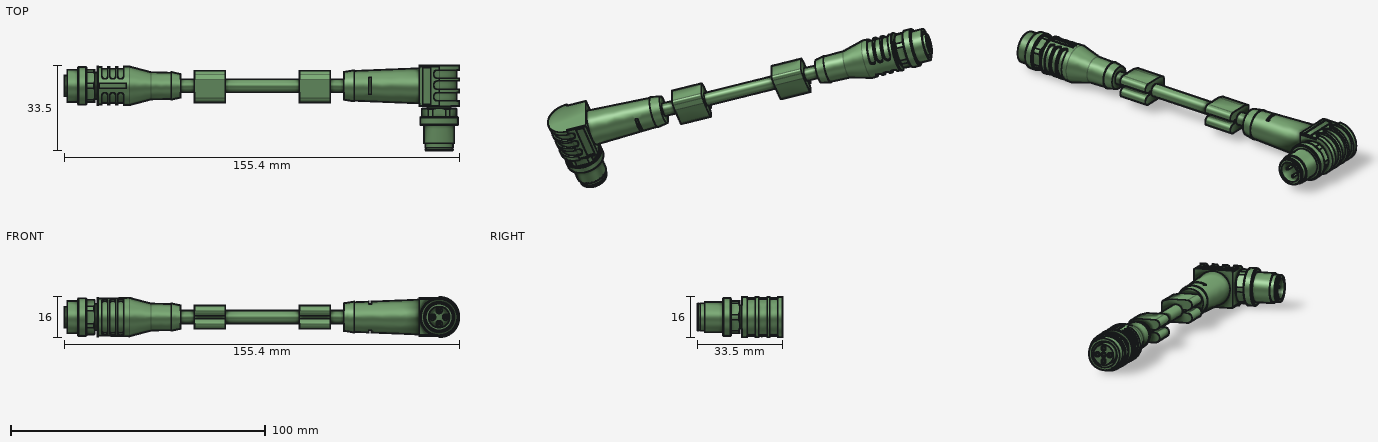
import cadquery as cq
import math

TOTAL_LENGTH = 155.37
CABLE_DIA = 5.2

INSERT_DIA = 8.3
CONTACT_COUNT = 4
CONTACT_CIRCLE_DIA = 5.2
PIN_DIA = 1.0
SOCKET_DIA = 1.15
SOCKET_DEPTH = 6.0
SOCKET_RIM_DIA = 1.9
SOCKET_RIM_DEPTH = 0.5
PIN_POCKET_DIA = 2.4
PIN_POCKET_DEPTH = 0.5
PIN_TIP_CHAMFER = 0.25

NUT_RING_DIA = 15.0
NUT_BODY_DIA = 13.8
NUT_ACROSS_FLATS = 12.8
NUT_LENGTH = 3.3
NUT_CHAMFER = 0.4

COLLAR_START = 1.0
RING_START = 5.2
RING_END = 8.7
NUT_END = RING_END + NUT_LENGTH
GRIP_START = 12.8
GRIP_FLANGE_LENGTH = 0.5
GRIP_END = 25.5
WAIST_X = 34.0
BOOT_RIDGE_X = 42.0
BOOT_END = 45.7
COLLAR_DIA = 12.8
COLLAR_MOUTH_DIA = 10.5
COLLAR_THROAT_DIA = 8.6
COLLAR_BORE_DEPTH = 4.0
FEMALE_NECK_DIA = 10.5
GRIP_DIA = 14.8
GRIP_FLANGE_DIA = 15.3
WAIST_DIA = 10.8
RIDGE_DIA = 10.95
RIDGE_BASE_DIA = 10.4
BOOT_END_DIA = 9.3

GROOVE_FIRST_X = 15.9
GROOVE_PITCH = 3.1
GROOVE_COUNT = 3
GROOVE_WIDTH = 2.4
GROOVE_TIP_Y = 2.7
GROOVE_DEPTH = 0.6
RECESS_START = 13.7
RECESS_END = 24.3
RECESS_WIDTH = 2.0
RECESS_FLOOR_Z = 7.1

CLIP_STARTS = (51.1, 92.4)
CLIP_LENGTH = 12.2
CLIP_HALF_HEIGHT = 4.6
CLIP_FRONT_Y = -6.6
CLIP_BACK_Y = 5.95
CLIP_LOBE_RADIUS = 2.0
CLIP_SLOT_FLOOR_Y = -3.0
CLIP_SHOULDER_Y = 2.5
CLIP_SHOULDER_DROP = 0.6
CLIP_LIP_Y = 4.6

SLEEVE_START = 109.9
SLEEVE_RIDGE_X = 113.9
SLEEVE_START_DIA = 11.0
SLEEVE_RIDGE_DIA = 12.3
SLEEVE_BASE_DIA = 11.8
SLEEVE_END_DIA = 13.9
NOTCH_X = 120.2
NOTCH_WIDTH = 1.0
NOTCH_FLOOR_Z = 5.2

BLOCK_START = 139.6
BLOCK_HALF_WIDTH = 8.0
BLOCK_HALF_HEIGHT = 7.5
BLOCK_CHAMFER_Y = 0.5
BLOCK_CHAMFER_Z = 0.25
RIB_RADIUS = 7.985
HEAD_FLOOR_RADIUS = 7.0
HEAD_X = TOTAL_LENGTH - RIB_RADIUS
LABEL_START = 140.9
LABEL_END = 144.0
LABEL_HALF_WIDTH = 7.2
LABEL_DEPTH = 0.3
HEAD_GROOVE_START = 145.3
HEAD_GROOVE_WIDTH = 3.2
HEAD_GROOVE_CENTERS = (4.6, 0.3, -4.3)
HEAD_GROOVE_FILLET = 1.3

PLUG_NECK_END = 8.85
PLUG_NUT_END = PLUG_NECK_END + NUT_LENGTH
PLUG_RING_END = 15.6
PLUG_THREAD_END = 22.6
PLUG_GROOVE_START = 24.4
PLUG_GROOVE_END = 25.1
PLUG_END = 25.5
PLUG_NECK_DIA = 9.3
PLUG_THREAD_DIA = 12.0
PLUG_NOSE_DIA = 10.95
PLUG_GROOVE_DIA = 10.5
PLUG_CAVITY_DEPTH = 8.0
PIN_LENGTH = 6.5


def revolved(stations):
    """Solid of revolution about X through (x, diameter) stations."""
    profile = [(x, dia / 2) for x, dia in stations]
    outline = [(profile[0][0], 0)] + profile + [(profile[-1][0], 0)]
    return cq.Workplane("XY").polyline(outline).close().revolve(360, (0, 0, 0), (1, 0, 0))


def cylinder_x(start, end, dia):
    return cq.Workplane("YZ").workplane(offset=start).circle(dia / 2).extrude(end - start)


def contacts(start, end, dia):
    """Round bars on the contact circle, along X."""
    return (
        cq.Workplane("YZ")
        .workplane(offset=start)
        .polarArray(CONTACT_CIRCLE_DIA / 2, 0, 360, CONTACT_COUNT)
        .circle(dia / 2)
        .extrude(end - start)
    )


def nut_hexagon(start, end, free_end):
    """Rounded nut body, chamfered at its free end, with six wrench flats, two facing +Y and -Y."""
    across_corners = NUT_ACROSS_FLATS / math.cos(math.pi / 6)
    hexagon = (
        cq.Workplane("YZ")
        .workplane(offset=start)
        .transformed(rotate=(0, 0, 30))
        .polygon(6, across_corners)
        .extrude(end - start)
    )
    body = cylinder_x(start, end, NUT_BODY_DIA).faces(free_end).chamfer(NUT_CHAMFER)
    return body.intersect(hexagon)


def nut_ring(start, end):
    ring = cylinder_x(start, end, NUT_RING_DIA)
    return ring.faces("<X or >X").chamfer(NUT_CHAMFER)


def grip_grooves():
    """Finger grooves that wrap the +Y and -Y sides of the grip, with round tips."""
    tip_radius = GROOVE_WIDTH / 2
    straight = GRIP_DIA / 2
    grooves = cq.Workplane("XY")
    for index in range(GROOVE_COUNT):
        x = GROOVE_FIRST_X + index * GROOVE_PITCH
        for side in (1, -1):
            tip_y = side * (GROOVE_TIP_Y + tip_radius)
            tip = cq.Workplane("XY").center(x, tip_y).circle(tip_radius).extrude(GRIP_DIA, both=True)
            run = (
                cq.Workplane("XY")
                .center(x, tip_y + side * straight / 2)
                .rect(GROOVE_WIDTH, straight)
                .extrude(GRIP_DIA, both=True)
            )
            grooves = grooves.add(tip.union(run))
    core = cylinder_x(GRIP_START, GRIP_END, GRIP_DIA - 2 * GROOVE_DEPTH)
    return grooves.combine().cut(core)


def grip_recess():
    """Flat rectangular recess on top of the grip."""
    return (
        cq.Workplane("XY")
        .workplane(offset=RECESS_FLOOR_Z)
        .center((RECESS_START + RECESS_END) / 2, 0)
        .rect(RECESS_END - RECESS_START, RECESS_WIDTH)
        .extrude(GRIP_DIA)
    )


def female_connector():
    coupling = (
        cylinder_x(COLLAR_START, RING_START, COLLAR_DIA)
        .union(nut_ring(RING_START, RING_END))
        .union(nut_hexagon(RING_END, NUT_END, ">X"))
    )
    bore = revolved(
        [
            (COLLAR_START, COLLAR_MOUTH_DIA),
            (COLLAR_START + COLLAR_BORE_DEPTH, COLLAR_THROAT_DIA),
        ]
    )
    insert = (
        cylinder_x(0, NUT_END, INSERT_DIA)
        .cut(contacts(0, SOCKET_DEPTH, SOCKET_DIA))
        .cut(contacts(0, SOCKET_RIM_DEPTH, SOCKET_RIM_DIA))
        .cut(cylinder_x(0, SOCKET_DEPTH, SOCKET_DIA))
        .cut(cylinder_x(0, SOCKET_RIM_DEPTH, SOCKET_RIM_DIA))
    )
    neck = cylinder_x(NUT_END, GRIP_START, FEMALE_NECK_DIA)
    body = revolved(
        [
            (GRIP_START, GRIP_FLANGE_DIA),
            (GRIP_START + GRIP_FLANGE_LENGTH, GRIP_FLANGE_DIA),
            (GRIP_START + GRIP_FLANGE_LENGTH, GRIP_DIA),
            (GRIP_END, GRIP_FLANGE_DIA),
            (WAIST_X, WAIST_DIA),
            (BOOT_RIDGE_X, RIDGE_BASE_DIA),
            (BOOT_RIDGE_X, RIDGE_DIA),
            (BOOT_END, BOOT_END_DIA),
        ]
    )
    body = body.cut(grip_grooves()).cut(grip_recess())
    return coupling.cut(bore).union(insert).union(neck).union(body)


def cable_clip(start):
    """Clip around the cable: two round lobes with a slot between them at -Y, a lipped back at +Y."""
    lobe_y = CLIP_FRONT_Y + CLIP_LOBE_RADIUS
    lobe_z = CLIP_HALF_HEIGHT - CLIP_LOBE_RADIUS
    slot_half = lobe_z - CLIP_LOBE_RADIUS
    lip_z = CLIP_HALF_HEIGHT - CLIP_SHOULDER_DROP
    lip_size = CLIP_BACK_Y - CLIP_LIP_Y
    lip_mid = (
        CLIP_LIP_Y + lip_size * math.sin(math.pi / 4),
        lip_z - lip_size * (1 - math.cos(math.pi / 4)),
    )
    return (
        cq.Workplane("YZ")
        .workplane(offset=start)
        .moveTo(CLIP_SHOULDER_Y, CLIP_HALF_HEIGHT)
        .lineTo(lobe_y, CLIP_HALF_HEIGHT)
        .threePointArc((CLIP_FRONT_Y, lobe_z), (lobe_y, slot_half))
        .lineTo(CLIP_SLOT_FLOOR_Y, slot_half)
        .lineTo(CLIP_SLOT_FLOOR_Y, -slot_half)
        .lineTo(lobe_y, -slot_half)
        .threePointArc((CLIP_FRONT_Y, -lobe_z), (lobe_y, -CLIP_HALF_HEIGHT))
        .lineTo(CLIP_SHOULDER_Y, -CLIP_HALF_HEIGHT)
        .lineTo(CLIP_LIP_Y, -lip_z)
        .threePointArc((lip_mid[0], -lip_mid[1]), (CLIP_BACK_Y, lip_size - lip_z))
        .lineTo(CLIP_BACK_Y, lip_z - lip_size)
        .threePointArc(lip_mid, (CLIP_LIP_Y, lip_z))
        .close()
        .extrude(CLIP_LENGTH)
    )


def sleeve():
    """Tapered sleeve with a notch across its top and bottom."""
    body = revolved(
        [
            (SLEEVE_START, SLEEVE_START_DIA),
            (SLEEVE_RIDGE_X, SLEEVE_RIDGE_DIA),
            (SLEEVE_RIDGE_X, SLEEVE_BASE_DIA),
            (BLOCK_START, SLEEVE_END_DIA),
        ]
    )
    notch_height = SLEEVE_END_DIA
    for side in (1, -1):
        notch = cq.Workplane("XY").box(NOTCH_WIDTH, SLEEVE_END_DIA, notch_height)
        body = body.cut(notch.translate((NOTCH_X, 0, side * (NOTCH_FLOOR_Z + notch_height / 2))))
    return body


def head_disc(radius):
    """Disc about the plug axis over the full width of the head block."""
    return (
        cq.Workplane("XZ")
        .center(HEAD_X, 0)
        .circle(radius)
        .extrude(BLOCK_HALF_WIDTH, both=True)
    )


def head_groove(center_y):
    """Groove that wraps the half-round end of the head, down to the floor radius."""
    length = TOTAL_LENGTH - HEAD_GROOVE_START
    slab = (
        cq.Workplane("XY")
        .box(2 * length, HEAD_GROOVE_WIDTH, 4 * RIB_RADIUS)
        .edges("|Z and <X")
        .fillet(HEAD_GROOVE_FILLET)
        .translate((TOTAL_LENGTH, center_y, 0))
    )
    core_length = HEAD_X - BLOCK_START
    core = cq.Workplane("XY").box(core_length, 2 * BLOCK_HALF_WIDTH, 2 * HEAD_FLOOR_RADIUS)
    core = core.translate((HEAD_X - core_length / 2, 0, 0))
    return slab.cut(head_disc(HEAD_FLOOR_RADIUS)).cut(core)


def head_block():
    block = (
        cq.Workplane("YZ")
        .workplane(offset=BLOCK_START)
        .rect(2 * BLOCK_HALF_WIDTH, 2 * BLOCK_HALF_HEIGHT)
        .extrude(HEAD_X - BLOCK_START)
        .faces(">Z or <Z")
        .edges("|X")
        .chamfer(BLOCK_CHAMFER_Z, BLOCK_CHAMFER_Y)
    )
    round_end = head_disc(RIB_RADIUS).intersect(
        cq.Workplane("XY").box(2 * RIB_RADIUS, 2 * BLOCK_HALF_WIDTH, 2 * RIB_RADIUS)
        .translate((HEAD_X + RIB_RADIUS, 0, 0))
    )
    block = block.union(round_end)
    for center_y in HEAD_GROOVE_CENTERS:
        block = block.cut(head_groove(center_y))
    for side in (1, -1):
        label = cq.Workplane("XY").box(LABEL_END - LABEL_START, 2 * LABEL_HALF_WIDTH, 2 * LABEL_DEPTH)
        block = block.cut(label.translate(((LABEL_START + LABEL_END) / 2, 0, side * BLOCK_HALF_HEIGHT)))
    return block


def plug():
    """Male plug, built along +X from the cable axis and then turned to -Y."""
    shank = revolved(
        [
            (0, PLUG_NECK_DIA),
            (PLUG_RING_END, PLUG_NECK_DIA),
            (PLUG_RING_END, PLUG_THREAD_DIA),
            (PLUG_THREAD_END, PLUG_THREAD_DIA),
            (PLUG_THREAD_END, PLUG_NOSE_DIA),
            (PLUG_GROOVE_START, PLUG_NOSE_DIA),
            (PLUG_GROOVE_START, PLUG_GROOVE_DIA),
            (PLUG_GROOVE_END, PLUG_GROOVE_DIA),
            (PLUG_GROOVE_END, PLUG_NOSE_DIA),
            (PLUG_END, PLUG_GROOVE_DIA),
        ]
    )
    floor_x = PLUG_END - PLUG_CAVITY_DEPTH
    pocket_x = floor_x - PIN_POCKET_DEPTH
    pins = contacts(pocket_x, floor_x + PIN_LENGTH, PIN_DIA).faces(">X").chamfer(PIN_TIP_CHAMFER)
    body = (
        shank.union(nut_hexagon(PLUG_NECK_END, PLUG_NUT_END, "<X"))
        .union(nut_ring(PLUG_NUT_END, PLUG_RING_END))
        .cut(cylinder_x(floor_x, PLUG_END, INSERT_DIA))
        .cut(contacts(pocket_x, floor_x, PIN_POCKET_DIA))
        .union(pins)
    )
    return (
        body.rotate((0, 0, 0), (1, 0, 0), 90)
        .rotate((0, 0, 0), (0, 0, 1), -90)
        .translate((HEAD_X, 0, 0))
    )


cable = cylinder_x(BOOT_END, SLEEVE_START, CABLE_DIA)

result = female_connector().union(cable)
for clip_start in CLIP_STARTS:
    result = result.union(cable_clip(clip_start))
result = result.union(sleeve()).union(head_block()).union(plug())